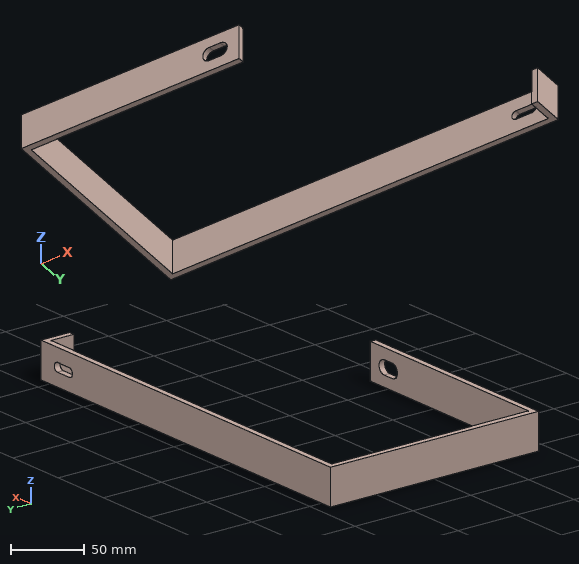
import cadquery as cq

length = 320.0
depth = 180.0
height = 29.0
thickness = 5.0
front_arm_length = 180.0
lip_length = 25.0

slot_length = 20.0
front_slot_height = 11.0
back_slot_height = 7.0
slot_end_gap = 10.0

front_slot_x = front_arm_length - slot_end_gap - slot_length / 2
back_slot_x = length - thickness - slot_end_gap - slot_length / 2


def bent_strip():
    """Strip outline in plan, with its outer front-left corner at the origin."""
    outline = [
        (0, 0),
        (front_arm_length, 0),
        (front_arm_length, thickness),
        (thickness, thickness),
        (thickness, depth - thickness),
        (length - thickness, depth - thickness),
        (length - thickness, depth - lip_length),
        (length, depth - lip_length),
        (length, depth),
        (0, depth),
    ]
    return cq.Workplane("XY").polyline(outline).close().extrude(height)


def slot_cutter(center_x, front_y, slot_height):
    """Round-ended slot through one arm, from its front face toward +Y."""
    return (
        cq.Workplane("XZ", origin=(center_x, front_y, height / 2))
        .slot2D(slot_length, slot_height)
        .extrude(-thickness)
    )


front_slot = slot_cutter(front_slot_x, 0, front_slot_height)
back_slot = slot_cutter(back_slot_x, depth - thickness, back_slot_height)

result = bent_strip().cut(front_slot).cut(back_slot)